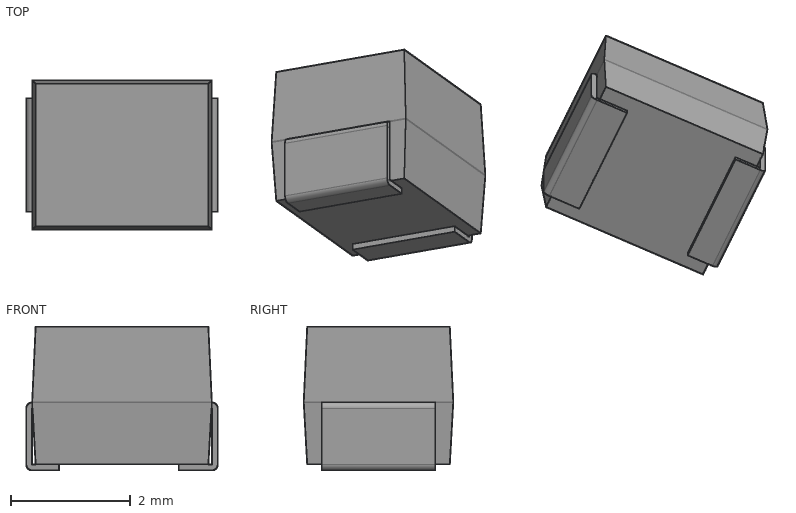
import cadquery as cq

overall_length = 3.2
overall_height = 2.4

lead_thickness = 0.1
lead_width = 1.9
lead_top = 1.135
negative_x_foot_length = 0.55
positive_x_foot_length = 0.655
bend_radius = 0.1

housing_length = overall_length - 2 * lead_thickness
housing_width = 2.5
draft_inset = 0.058
band_height = 0.013
housing_bottom = lead_thickness
band_bottom = lead_top
band_top = band_bottom + band_height


def drafted_half(start_z, end_z):
    """Loft from the full section at start_z to the inset section at end_z."""
    return (
        cq.Workplane("XY")
        .workplane(offset=start_z)
        .rect(housing_length, housing_width)
        .workplane(offset=end_z - start_z)
        .rect(housing_length - 2 * draft_inset, housing_width - 2 * draft_inset)
        .loft(ruled=True)
    )


def make_housing():
    """Moulded housing tapering upward and downward from the parting band."""
    band = (
        cq.Workplane("XY")
        .workplane(offset=band_bottom)
        .rect(housing_length, housing_width)
        .extrude(band_height)
    )
    upper_half = drafted_half(band_top, overall_height)
    lower_half = drafted_half(band_bottom, housing_bottom)
    return band.union(upper_half).union(lower_half)


def make_lead(side, foot_length, housing):
    """C-shaped lead at one end; side is -1 for the -X end and +1 for the +X end."""
    outer_x = overall_length / 2
    inner_x = outer_x - lead_thickness
    foot_end_x = outer_x - foot_length
    arm_end_x = inner_x - draft_inset
    arm_bottom = lead_top - lead_thickness
    profile = [
        (foot_end_x, 0),
        (outer_x, 0),
        (outer_x, lead_top),
        (arm_end_x, lead_top),
        (arm_end_x, arm_bottom),
        (inner_x, arm_bottom),
        (inner_x, lead_thickness),
        (foot_end_x, lead_thickness),
    ]
    strip = (
        cq.Workplane("XZ")
        .polyline([(side * x, z) for x, z in profile])
        .close()
        .extrude(lead_width / 2, both=True)
    )
    outer_face = ">X" if side > 0 else "<X"
    bent_strip = strip.faces(outer_face).edges("|Y").fillet(bend_radius)
    return bent_strip.cut(housing)


housing = make_housing().solids()
lead_ends = [(-1, negative_x_foot_length), (1, positive_x_foot_length)]
leads = [make_lead(side, foot_length, housing).solids() for side, foot_length in lead_ends]

result = cq.Compound.makeCompound([housing.val(), *[lead.val() for lead in leads]])